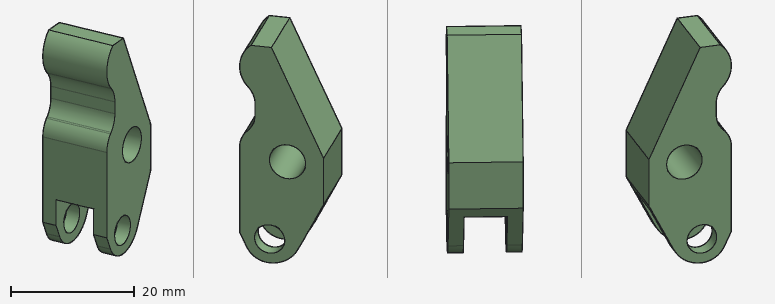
import cadquery as cq
import math

width = 12.0
depth = 14.0
height = 38.25

top_back_y = 5.3
back_top_z = 19.6
back_bottom_z = 11.35
front_bottom_z = 4.9

foot_y = 5.0
foot_radius = 4.25
foot_back_radius = 5.28
foot_hole_diameter = 5.0

pivot_y = 8.0
pivot_z = 18.3
pivot_diameter = 6.0

nose_radius = 5.0
nose_z = 34.3
waist_depth = 2.55
waist_radius = 4.0
waist_bottom_z = 25.9
shoulder_radius = 4.0
shoulder_z = 20.05
shoulder_angle = math.radians(45)

slot_width = 7.0
slot_height = 9.45


def on_circle(center, radius, angle):
    """Point at an angle in radians, measured from +Y toward +Z."""
    return (center[0] + radius * math.cos(angle), center[1] + radius * math.sin(angle))


def tangent_angle(center, radius, point, side):
    """Angle on the circle where a line from the point touches; side is +1 or -1."""
    dy = point[0] - center[0]
    dz = point[1] - center[1]
    return math.atan2(dz, dy) + side * math.acos(radius / math.hypot(dy, dz))


def side_profile():
    foot = (foot_y, foot_radius)
    foot_back = (foot_y, foot_back_radius)
    nose = (nose_radius, nose_z)
    back_bottom = (depth, back_bottom_z)
    front_bottom = (0, front_bottom_z)
    back_touch = tangent_angle(foot_back, foot_back_radius, back_bottom, -1)
    back_middle = (back_touch - math.pi / 2) / 2
    front_touch = tangent_angle(foot, foot_radius, front_bottom, 1)
    front_middle = (front_touch + 3 * math.pi / 2) / 2

    nose_angle = math.acos(1 - waist_depth / (nose_radius + waist_radius))
    waist_top_z = nose_z - (nose_radius + waist_radius) * math.sin(nose_angle)
    waist_center_y = waist_depth - waist_radius
    waist_top = (waist_center_y, waist_top_z)
    waist_bottom = (waist_center_y, waist_bottom_z)
    shoulder = (shoulder_radius, shoulder_z)
    nose_top_angle = math.pi - math.asin((height - nose_z) / nose_radius)

    return (
        cq.Workplane("YZ")
        .moveTo(top_back_y, height)
        .lineTo(depth, back_top_z)
        .lineTo(*back_bottom)
        .lineTo(*on_circle(foot_back, foot_back_radius, back_touch))
        .threePointArc(on_circle(foot_back, foot_back_radius, back_middle), (foot_y, 0))
        .threePointArc(
            on_circle(foot, foot_radius, front_middle),
            on_circle(foot, foot_radius, front_touch),
        )
        .lineTo(*front_bottom)
        .lineTo(0, shoulder_z)
        .threePointArc(
            on_circle(shoulder, shoulder_radius, math.pi - shoulder_angle / 2),
            on_circle(shoulder, shoulder_radius, math.pi - shoulder_angle),
        )
        .lineTo(*on_circle(waist_bottom, waist_radius, -shoulder_angle))
        .threePointArc(
            on_circle(waist_bottom, waist_radius, -shoulder_angle / 2),
            (waist_depth, waist_bottom_z),
        )
        .lineTo(waist_depth, waist_top_z)
        .threePointArc(
            on_circle(waist_top, waist_radius, nose_angle / 2),
            on_circle(waist_top, waist_radius, nose_angle),
        )
        .threePointArc((0, nose_z), on_circle(nose, nose_radius, nose_top_angle))
        .close()
    )


def cross_hole(y, z, diameter):
    return cq.Workplane("YZ").center(y, z).circle(diameter / 2).extrude(width / 2, both=True)


def fork_slot():
    return cq.Workplane("XY").rect(slot_width, 2 * depth).extrude(slot_height)


body = side_profile().extrude(width / 2, both=True)
result = (
    body
    .cut(cross_hole(pivot_y, pivot_z, pivot_diameter))
    .cut(cross_hole(foot_y, foot_radius, foot_hole_diameter))
    .cut(fork_slot())
)